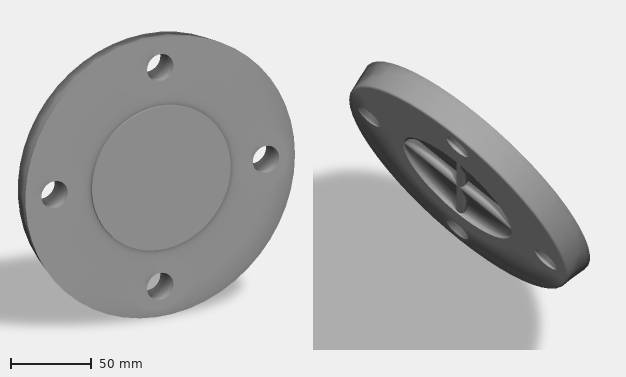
import cadquery as cq
import math

disc_diameter = 185.0
disc_thickness = 18.9
rim_taper = 10.0
front_edge_fillet = 1.5

overall_thickness = 20.5
raised_face_diameter = 95.0

bolt_hole_diameter = 18.0
bolt_circle_diameter = 145.0
bolt_hole_count = 4

pocket_diameter = 88.8
pocket_depth = 7.2
rib_width = 6.1
rib_top_radius = rib_width / 2
rib_recess = 1.0


def cylinder_along_x(diameter, x_start, x_end):
    return cq.Workplane("YZ", origin=(x_start, 0, 0)).circle(diameter / 2).extrude(x_end - x_start)


def make_disc():
    back_radius = disc_diameter / 2
    front_radius = back_radius - disc_thickness * math.tan(math.radians(rim_taper))
    outline = [(0, 0), (0, front_radius), (disc_thickness, back_radius), (disc_thickness, 0)]
    disc = cq.Workplane("XY").polyline(outline).close().revolve(360, (0, 0, 0), (1, 0, 0))
    return disc.faces("<X").edges().fillet(front_edge_fillet)


def make_pocket():
    """Dished pocket whose quarter-round wall runs from the rim down to the flat floor."""
    rim_radius = pocket_diameter / 2
    floor_radius = rim_radius - pocket_depth
    arc_offset = pocket_depth * math.sqrt(0.5)
    return (
        cq.Workplane("XY")
        .lineTo(0, rim_radius)
        .threePointArc((arc_offset, floor_radius + arc_offset), (pocket_depth, floor_radius))
        .lineTo(pocket_depth, 0)
        .close()
        .revolve(360, (0, 0, 0), (1, 0, 0))
    )


def make_rib():
    """Bar along Y with a half-round crest, reaching from the pocket floor up to the crest."""
    crest_start = rib_recess + rib_top_radius
    half_width = rib_width / 2
    return (
        cq.Workplane("XZ", origin=(0, pocket_diameter / 2, 0))
        .moveTo(pocket_depth, -half_width)
        .lineTo(crest_start, -half_width)
        .threePointArc((rib_recess, 0), (crest_start, half_width))
        .lineTo(pocket_depth, half_width)
        .close()
        .extrude(pocket_diameter)
    )


def make_bolt_holes():
    return (
        cq.Workplane("YZ")
        .polarArray(bolt_circle_diameter / 2, 0, 360, bolt_hole_count)
        .circle(bolt_hole_diameter / 2)
        .extrude(disc_thickness)
    )


rib = make_rib()
rib_cross = rib.union(rib.rotate((0, 0, 0), (1, 0, 0), 90))
pocket_between_ribs = make_pocket().cut(rib_cross)
raised_face = cylinder_along_x(raised_face_diameter, disc_thickness, overall_thickness)

result = make_disc().union(raised_face).cut(pocket_between_ribs).cut(make_bolt_holes())